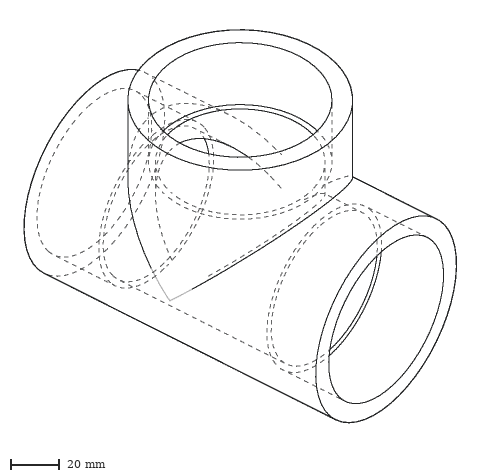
import cadquery as cq

run_length = 153.0
half_run = run_length / 2
branch_height = half_run
outer_diameter = 92.0
bore_diameter = 69.3
socket_diameter = 75.0
socket_depth = 32.5


def cylinder(diameter, length, start, direction):
    """Solid cylinder that starts at a point and runs along a direction."""
    return cq.Workplane(cq.Solid.makeCylinder(diameter / 2, length, cq.Vector(*start), cq.Vector(*direction)))


openings = [
    ((-half_run, 0, 0), (1, 0, 0)),
    ((half_run, 0, 0), (-1, 0, 0)),
    ((0, 0, branch_height), (0, 0, -1)),
]
left_end, inward_from_left = openings[0]


def tee(diameter):
    """Full-length run joined with a branch of the same diameter."""
    run = cylinder(diameter, run_length, left_end, inward_from_left)
    branch = cylinder(diameter, branch_height, (0, 0, 0), (0, 0, 1))
    return run.union(branch)


result = tee(outer_diameter).cut(tee(bore_diameter))

for end_centre, inward in openings:
    result = result.cut(cylinder(socket_diameter, socket_depth, end_centre, inward))